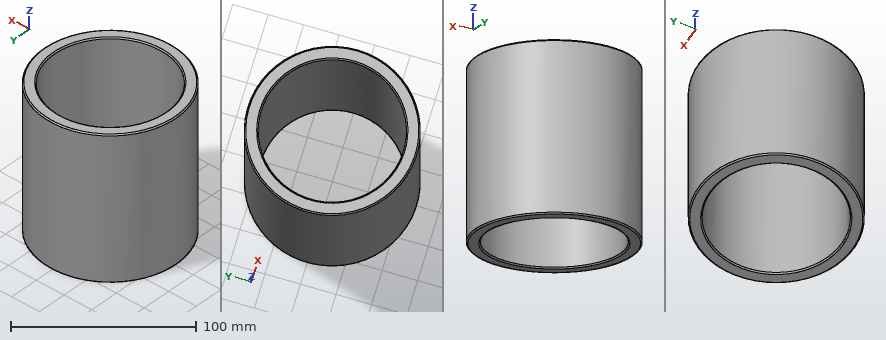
import cadquery as cq

length = 100.0
outer_diameter = 95.0
bore_diameter = 80.0
edge_chamfer = 0.8

sleeve = (
    cq.Workplane("XY")
    .circle(outer_diameter / 2)
    .circle(bore_diameter / 2)
    .extrude(length)
)

result = sleeve.faces("|Z").edges().chamfer(edge_chamfer)